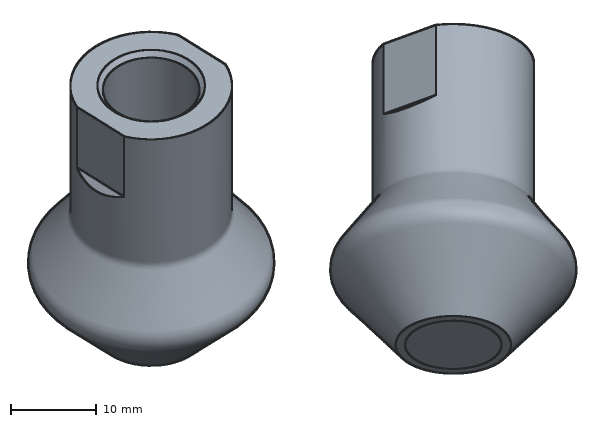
import cadquery as cq
import math

total_height = 38.1
shaft_radius = 9.52
neck_fillet_radius = 1.52
rim_radius = 14.497
rim_round_radius = 2.6
rim_center_height = 10.25
upper_cone_angle = math.radians(35.0)
lower_cone_angle = math.radians(39.6)

flat_distance = 8.72
flat_bottom_height = 28.58
flat_depth = shaft_radius - flat_distance
flat_runout_drop = 0.88

bore_radius = 5.68
bore_chamfer = 0.65
plug_height = 17.53
plug_tip_radius = 3.62
plug_cone_height = (bore_radius - plug_tip_radius) / math.tan(upper_cone_angle)


def point_on_circle(center, radius, angle):
    return (center[0] + radius * math.cos(angle), center[1] + radius * math.sin(angle))


def make_sleeve_blank():
    rim_center = (rim_radius - rim_round_radius, rim_center_height)
    rim_lower = point_on_circle(rim_center, rim_round_radius, -lower_cone_angle)
    rim_middle = point_on_circle(rim_center, rim_round_radius, 0)
    rim_upper = point_on_circle(rim_center, rim_round_radius, upper_cone_angle)
    base_radius = rim_lower[0] - rim_lower[1] * math.tan(lower_cone_angle)

    neck_center_radius = shaft_radius + neck_fillet_radius
    neck_end_radius = neck_center_radius - neck_fillet_radius * math.cos(upper_cone_angle)
    neck_end_height = rim_upper[1] + (rim_upper[0] - neck_end_radius) / math.tan(upper_cone_angle)
    neck_center_height = neck_end_height + neck_fillet_radius * math.sin(upper_cone_angle)
    neck_center = (neck_center_radius, neck_center_height)
    neck_middle = point_on_circle(neck_center, neck_fillet_radius, math.pi + upper_cone_angle / 2)

    return (
        cq.Workplane("XZ")
        .lineTo(base_radius, 0)
        .lineTo(*rim_lower)
        .threePointArc(rim_middle, rim_upper)
        .lineTo(neck_end_radius, neck_end_height)
        .threePointArc(neck_middle, (shaft_radius, neck_center_height))
        .lineTo(shaft_radius, total_height)
        .lineTo(0, total_height)
        .close()
        .revolve(360, (0, 0), (0, 1))
    )


def make_flat_cutter():
    """Cutter for the -Y flat, with a sloped lower end."""
    return (
        cq.Workplane("YZ")
        .moveTo(-flat_distance, total_height)
        .lineTo(-flat_distance, flat_bottom_height)
        .lineTo(-shaft_radius, flat_bottom_height - flat_runout_drop)
        .lineTo(-shaft_radius - flat_depth, flat_bottom_height - flat_runout_drop)
        .lineTo(-shaft_radius - flat_depth, total_height)
        .close()
        .extrude(shaft_radius, both=True)
    )


def make_bore_cutter():
    """Through bore with a chamfered upper mouth."""
    return (
        cq.Workplane("XZ")
        .lineTo(bore_radius, 0)
        .lineTo(bore_radius, total_height - bore_chamfer)
        .lineTo(bore_radius + bore_chamfer, total_height)
        .lineTo(0, total_height)
        .close()
        .revolve(360, (0, 0), (0, 1))
    )


def make_sleeve():
    sleeve = make_sleeve_blank().cut(make_bore_cutter())
    for turn in (0, 180):
        sleeve = sleeve.cut(make_flat_cutter().rotate((0, 0, 0), (0, 0, 1), turn))
    return sleeve


def make_plug():
    """Plug filling the lower bore, with a flat-ended conical tip."""
    return (
        cq.Workplane("XZ")
        .lineTo(bore_radius, 0)
        .lineTo(bore_radius, plug_height - plug_cone_height)
        .lineTo(plug_tip_radius, plug_height)
        .lineTo(0, plug_height)
        .close()
        .revolve(360, (0, 0), (0, 1))
    )


sleeve = make_sleeve()
plug = make_plug()

result = cq.Compound.makeCompound([sleeve.val(), plug.val()])